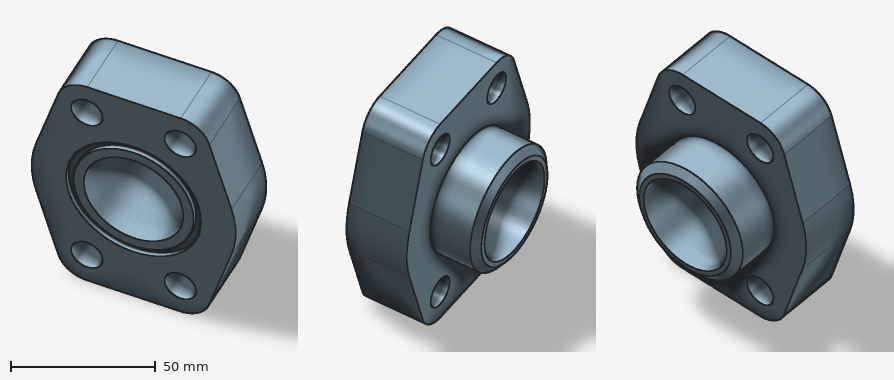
import cadquery as cq
import math

flange_thickness = 25.0
flange_height = 95.0
side_arc_radius = 39.0
corner_radius = 11.5

bolt_spacing_x = 35.7
bolt_spacing_z = 69.9
bolt_hole_diameter = 12.0

neck_diameter = 48.6
neck_length = 19.0
bevel_length = 2.5
bevel_depth = 3.3
bore_diameter = 38.0

groove_outer_diameter = 51.6
groove_inner_diameter = 45.8
groove_depth = 2.0


def cylinder(diameter, start_y, length):
    """Solid cylinder along +Y, centred on the part axis."""
    plane = cq.Workplane("XZ", origin=(0, start_y, 0))
    return plane.circle(diameter / 2).extrude(-length)


def polar(center_x, center_z, radius, angle):
    return (center_x + radius * math.cos(angle), center_z + radius * math.sin(angle))


def make_flange():
    """Plate with curved sides, straight flanks tangent to both arcs, and rounded corners."""
    half_height = flange_height / 2
    corner_x = bolt_spacing_x / 2
    corner_z = half_height - corner_radius

    corner_distance = math.hypot(corner_x, corner_z)
    corner_direction = math.atan2(corner_z, corner_x)
    flank_angle = corner_direction - math.acos((side_arc_radius - corner_radius) / corner_distance)
    corner_mid_angle = (flank_angle + math.pi / 2) / 2

    side_x, side_z = polar(0, 0, side_arc_radius, flank_angle)
    flank_x, flank_z = polar(corner_x, corner_z, corner_radius, flank_angle)
    mid_x, mid_z = polar(corner_x, corner_z, corner_radius, corner_mid_angle)

    outline = (
        cq.Workplane("XZ")
        .moveTo(side_x, -side_z)
        .threePointArc((side_arc_radius, 0), (side_x, side_z))
        .lineTo(flank_x, flank_z)
        .threePointArc((mid_x, mid_z), (corner_x, half_height))
        .lineTo(-corner_x, half_height)
        .threePointArc((-mid_x, mid_z), (-flank_x, flank_z))
        .lineTo(-side_x, side_z)
        .threePointArc((-side_arc_radius, 0), (-side_x, -side_z))
        .lineTo(-flank_x, -flank_z)
        .threePointArc((-mid_x, -mid_z), (-corner_x, -half_height))
        .lineTo(corner_x, -half_height)
        .threePointArc((mid_x, -mid_z), (flank_x, -flank_z))
        .close()
    )
    return outline.extrude(-flange_thickness)


def make_neck():
    """Round neck behind the flange, with its free end bevelled for welding."""
    neck = cylinder(neck_diameter, flange_thickness, neck_length)
    return neck.faces(">Y").chamfer(bevel_length, bevel_depth)


def make_bolt_holes():
    plane = cq.Workplane("XZ").rarray(bolt_spacing_x, bolt_spacing_z, 2, 2)
    return plane.circle(bolt_hole_diameter / 2).extrude(-flange_thickness)


def make_seal_groove():
    outer = cylinder(groove_outer_diameter, 0, groove_depth)
    return outer.cut(cylinder(groove_inner_diameter, 0, groove_depth))


bore = cylinder(bore_diameter, 0, flange_thickness + neck_length)

result = make_flange().union(make_neck())
result = result.cut(bore).cut(make_bolt_holes()).cut(make_seal_groove())